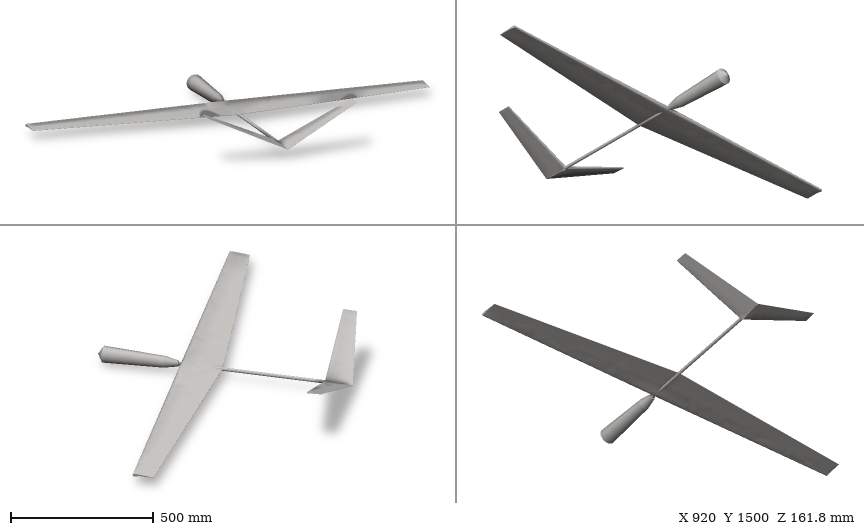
import cadquery as cq
import math


nose_tip_x = -300.0
nose_length = 20.0
pod_body_length = 220.0
pod_tail_length = 51.0
pod_front_radius = 30.0
pod_rear_radius = 21.0
pod_end_radius = 10.0
pod_end_x = nose_tip_x + nose_length + pod_body_length + pod_tail_length

wing_half_span = 750.0
wing_root_chord = 150.0
wing_tip_chord = wing_root_chord / 2
wing_upper_ratio = 0.065
wing_lower_ratio = 0.005

tail_x = 520.0
tail_root_chord = 100.0
tail_tip_chord = tail_root_chord / 2
tail_half_span = 280.0
tail_dihedral = 24.7
tail_panel_length = tail_half_span / math.cos(math.radians(tail_dihedral))
tail_half_thickness_ratio = 0.03

crest_position = 0.35
trailing_half_ratio = 0.005

boom_radius = 6.0
boom_tail_overlap = 5.0
boom_end_x = tail_x + boom_tail_overlap


def airfoil(chord, upper_ratio, lower_ratio, span_position):
    """Closed section in an XZ plane, with a round nose and a blunt trailing edge."""
    crest_x = crest_position * chord
    trailing_half = trailing_half_ratio * chord

    def skin(height, trailing_z):
        points = [cq.Vector(0, span_position, 0), cq.Vector(crest_x, span_position, height),
                  cq.Vector(chord, span_position, trailing_z)]
        tangents = [cq.Vector(0, 0, height), cq.Vector(chord, 0, 0),
                    cq.Vector(chord - crest_x, 0, trailing_z - height)]
        return cq.Edge.makeSpline(points, tangents=tangents)

    upper = skin(upper_ratio * chord, trailing_half)
    lower = skin(-lower_ratio * chord, -trailing_half)
    trailing_edge = cq.Edge.makeLine(upper.endPoint(), lower.endPoint())
    return cq.Wire.assembleEdges([upper, trailing_edge, lower])


def panel(root_chord, tip_chord, length, upper_ratio, lower_ratio):
    """Tapered panel running from the centre plane toward +Y."""
    root = airfoil(root_chord, upper_ratio, lower_ratio, 0)
    tip = airfoil(tip_chord, upper_ratio, lower_ratio, length)
    return cq.Workplane(cq.Solid.makeLoft([root, tip], True))


def make_pod():
    body_x = nose_tip_x + nose_length
    return (
        cq.Workplane("XY")
        .moveTo(nose_tip_x, 0)
        .lineTo(body_x, pod_front_radius)
        .lineTo(body_x + pod_body_length, pod_rear_radius)
        .lineTo(pod_end_x, pod_end_radius)
        .lineTo(pod_end_x, 0)
        .close()
        .revolve(360, (0, 0, 0), (1, 0, 0))
    )


def make_airframe():
    boom = (
        cq.Workplane("YZ", origin=(pod_end_x, 0, 0))
        .circle(boom_radius)
        .extrude(boom_end_x - pod_end_x)
    )
    wing_panel = panel(wing_root_chord, wing_tip_chord, wing_half_span,
                       wing_upper_ratio, wing_lower_ratio)
    tail_panel = (
        panel(tail_root_chord, tail_tip_chord, tail_panel_length,
              tail_half_thickness_ratio, tail_half_thickness_ratio)
        .rotate((0, 0, 0), (1, 0, 0), tail_dihedral)
        .translate((tail_x, 0, 0))
    )
    airframe = boom
    for half in (wing_panel, tail_panel):
        airframe = airframe.union(half).union(half.mirror("XZ"))
    return airframe


pod = make_pod()
airframe = make_airframe()
result = cq.Compound.makeCompound([pod.val(), *airframe.solids().vals()])